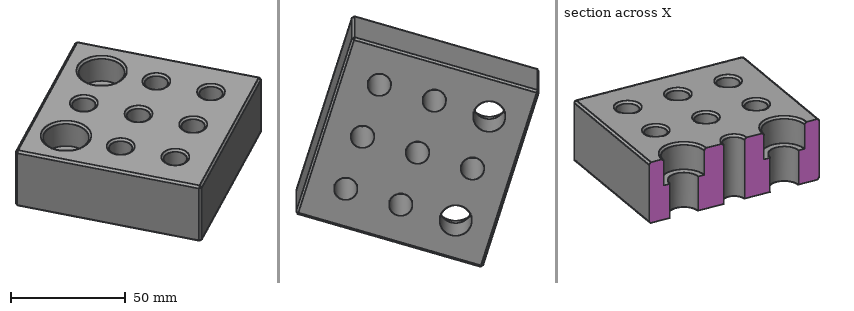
import cadquery as cq

side = 85.0
height = 30.0
edge_chamfer = 1.0

pitch = 25.0
hole_diameter = 10.2
hole_chamfer = 1.0

bolt_diameter = 14.0
bore_diameter = 20.0
bore_depth = 13.0
bore_chamfer = 1.0


def block():
    """Square block standing on Z = 0, with every edge chamfered."""
    base = cq.Workplane("XY").box(side, side, height, centered=(True, True, False))
    return base.edges().chamfer(edge_chamfer)


def cylinder(x, y, diameter, bottom, top):
    plane = cq.Workplane("XY").workplane(offset=bottom).center(x, y)
    return plane.circle(diameter / 2).extrude(top - bottom)


def top_countersink(x, y, diameter, chamfer):
    """45 degree cone that breaks the top edge of a hole."""
    radius = diameter / 2
    cone = cq.Solid.makeCone(radius, radius + chamfer, chamfer)
    return cq.Workplane(cone.translate(cq.Vector(x, y, height - chamfer)))


def plain_hole(x, y):
    drill = cylinder(x, y, hole_diameter, 0, height)
    return drill.union(top_countersink(x, y, hole_diameter, hole_chamfer))


def counterbored_hole(x, y):
    drill = cylinder(x, y, bolt_diameter, 0, height)
    bore = cylinder(x, y, bore_diameter, height - bore_depth, height)
    return drill.union(bore).union(top_countersink(x, y, bore_diameter, bore_chamfer))


result = block()
for column in (-1, 0, 1):
    for row in (-1, 0, 1):
        is_bolt_corner = column == -1 and row != 0
        cutter = counterbored_hole if is_bolt_corner else plain_hole
        result = result.cut(cutter(column * pitch, row * pitch))